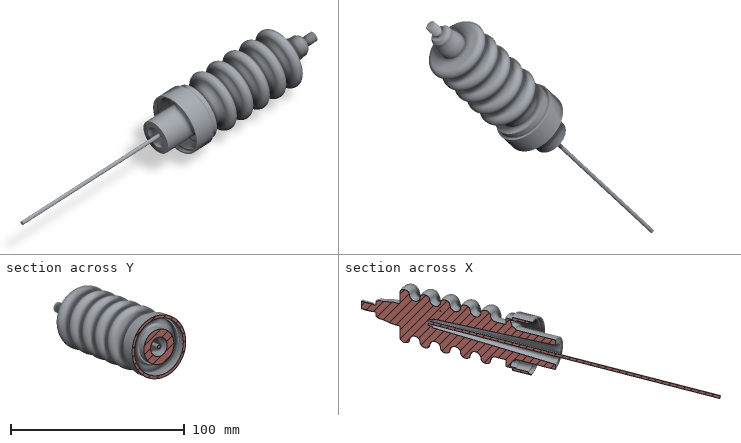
import cadquery as cq
import math

overall_length = 225.26

thread_radius = 3.175
thread_pitch = 0.907
thread_count = 8
thread_depth = 0.55
neck_radius = thread_radius - thread_depth
neck_end = 9.05

cap_face_radius = 5.25
cap_chamfer_end = 11.1
cap_small_radius = 6.65
cap_taper_start = 13.4
cap_taper_end = 18.6
cap_blend_end = 20.7
cap_large_radius = 8.05

insulator_start = 24.1
rib_count = 5
rib_radius = 19.05
corrugation_radius = 3.175
corrugation_axis_radius = rib_radius - corrugation_radius
root_radius = corrugation_axis_radius - corrugation_radius
insulator_end = 90.6

flange_radius = 17.5
cup_start = 94.7
cup_end = 107.2
cup_radius = rib_radius

lip_bore_radius = 18.1
lip_bore_start = 105.0
cup_bore_radius = 17.0
cup_bore_start = 97.2
inner_bore_radius = 16.4
inner_bore_start = 93.5
boss_base_radius = root_radius
boss_base_station = 94.7
boss_top_radius = 11.5
boss_top_station = 96.9

tube_radius = 10.7
tube_end = 122.1
bore_mouth_radius = 6.7
bore_shoulder_radius = 3.0
bore_shoulder_station = 45.0
bore_pilot_radius = 2.1
bore_pilot_depth = 3.0
bore_bottom = bore_shoulder_station - bore_pilot_depth

rod_radius = 1.19


def cylinder(radius, start, end):
    """Solid cylinder on the Y axis between two stations."""
    plane = cq.Workplane("XZ", origin=(0, -start, 0))
    return plane.circle(radius).extrude(end - start)


def revolve_about_axis(profile):
    """Close an outline drawn with X as radius and revolve it about Y."""
    return profile.close().revolve(360, (0, 0, 0), (0, 1, 0))


def stud():
    profile = cq.Workplane("XY").moveTo(0, 0).lineTo(neck_radius, 0)
    for turn in range(thread_count):
        start = turn * thread_pitch
        profile = profile.lineTo(thread_radius, -(start + thread_pitch / 2))
        profile = profile.lineTo(neck_radius, -(start + thread_pitch))
    profile = profile.lineTo(neck_radius, -neck_end).lineTo(0, -neck_end)
    return revolve_about_axis(profile)


def terminal_cap():
    blend_length = cap_blend_end - cap_taper_end
    taper_length = cap_taper_end - cap_taper_start
    taper_slope = (cap_large_radius - cap_small_radius) / (taper_length + blend_length / 2)
    taper_angle = math.atan(taper_slope)
    blend_radius = blend_length / math.sin(taper_angle)
    cap_taper_radius = cap_large_radius - blend_radius * (1 - math.cos(taper_angle))
    profile = (
        cq.Workplane("XY")
        .moveTo(0, -neck_end)
        .lineTo(cap_face_radius, -neck_end)
        .lineTo(cap_small_radius, -cap_chamfer_end)
        .lineTo(cap_small_radius, -cap_taper_start)
        .lineTo(cap_taper_radius, -cap_taper_end)
        .radiusArc((cap_large_radius, -cap_blend_end), blend_radius)
        .lineTo(cap_large_radius, -insulator_start)
        .lineTo(0, -insulator_start)
    )
    return revolve_about_axis(profile)


def insulator():
    half_wave = 2 * corrugation_radius
    profile = cq.Workplane("XY").moveTo(0, -insulator_start)
    profile = profile.lineTo(corrugation_axis_radius, -insulator_start)
    for rib in range(rib_count):
        start = insulator_start + rib * 2 * half_wave
        crest = start + corrugation_radius
        valley = crest + half_wave
        rib_end = (corrugation_axis_radius, -(start + half_wave))
        profile = profile.threePointArc((rib_radius, -crest), rib_end)
        profile = profile.radiusArc((root_radius, -valley), -corrugation_radius)
        if rib < rib_count - 1:
            valley_end = (corrugation_axis_radius, -(start + 2 * half_wave))
            profile = profile.radiusArc(valley_end, -corrugation_radius)
    profile = profile.lineTo(root_radius, -insulator_end).lineTo(0, -insulator_end)
    return revolve_about_axis(profile)


def mounting_cup():
    body = cylinder(flange_radius, insulator_end, cup_start)
    body = body.union(cylinder(cup_radius, cup_start, cup_end))
    cavity = (
        cq.Workplane("XY")
        .moveTo(0, -cup_end)
        .lineTo(lip_bore_radius, -cup_end)
        .lineTo(lip_bore_radius, -lip_bore_start)
        .lineTo(cup_bore_radius, -lip_bore_start)
        .lineTo(cup_bore_radius, -cup_bore_start)
        .lineTo(inner_bore_radius, -cup_bore_start)
        .lineTo(inner_bore_radius, -inner_bore_start)
        .lineTo(boss_base_radius, -boss_base_station)
        .lineTo(boss_top_radius, -boss_top_station)
        .lineTo(0, -boss_top_station)
    )
    return body.cut(revolve_about_axis(cavity))


def tube():
    return cylinder(tube_radius, insulator_end, tube_end)


def tube_bore():
    profile = (
        cq.Workplane("XY")
        .moveTo(0, -tube_end)
        .lineTo(bore_mouth_radius, -tube_end)
        .lineTo(bore_shoulder_radius, -bore_shoulder_station)
        .lineTo(bore_pilot_radius, -bore_shoulder_station)
        .lineTo(bore_pilot_radius, -bore_bottom)
        .lineTo(0, -bore_bottom)
    )
    return revolve_about_axis(profile)


result = stud().union(terminal_cap()).union(insulator()).union(mounting_cup()).union(tube())
result = result.cut(tube_bore())
result = result.union(cylinder(rod_radius, bore_bottom, overall_length))